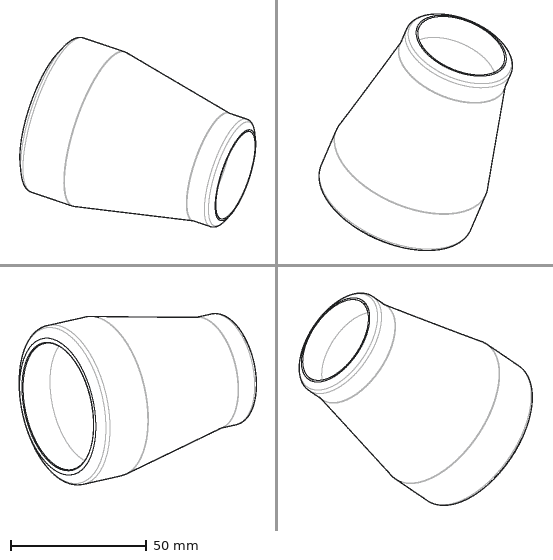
import cadquery as cq
import math

length = 76.0
large_diameter = 60.3
large_bore = 47.7
small_diameter = 42.0
small_bore = 34.0
taper_start = 20.2
taper_end = 66.0
bore_taper_start = 12.15

bevel_angle = 30.0
large_land = 1.9
small_land = 0.7
edge_radius = 1.5
mouth_chamfer = 0.3

large_radius = large_diameter / 2
small_radius = small_diameter / 2
large_bore_radius = large_bore / 2
small_bore_radius = small_bore / 2

large_face_radius = large_bore_radius + large_land
small_face_radius = small_bore_radius + small_land


def bevel_depth(outer_radius, face_radius):
    """Axial length of a bevel from the end face to the outside of the neck."""
    return (outer_radius - face_radius) * math.tan(math.radians(bevel_angle))


def turned_body(profile):
    """Solid of revolution about X from (x, radius) points, closed along the axis."""
    start_x = profile[0][0]
    end_x = profile[-1][0]
    outline = [(start_x, 0), *profile, (end_x, 0)]
    return cq.Workplane("XZ").polyline(outline).close().revolve(360, (0, 0, 0), (1, 0, 0))


outside = turned_body([
    (0, large_face_radius),
    (bevel_depth(large_radius, large_face_radius), large_radius),
    (taper_start, large_radius),
    (taper_end, small_radius),
    (length - bevel_depth(small_radius, small_face_radius), small_radius),
    (length, small_face_radius),
])
outside = outside.edges("%CIRCLE and (not <X) and (not >X)").fillet(edge_radius)

bore = turned_body([
    (0, large_bore_radius + mouth_chamfer),
    (mouth_chamfer, large_bore_radius),
    (bore_taper_start, large_bore_radius),
    (taper_end, small_bore_radius),
    (length, small_bore_radius),
])

result = outside.cut(bore)